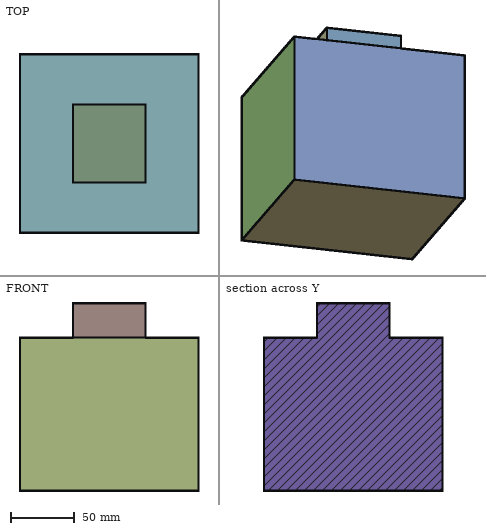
import cadquery as cq

total_height = 147.0
base_side = 140.0
base_height = 120.0

boss_length_x = 57.0
boss_width_y = 61.0
boss_height = total_height - base_height

base = cq.Workplane("XY").rect(base_side, base_side).extrude(base_height)

result = base.faces(">Z").workplane().rect(boss_length_x, boss_width_y).extrude(boss_height)